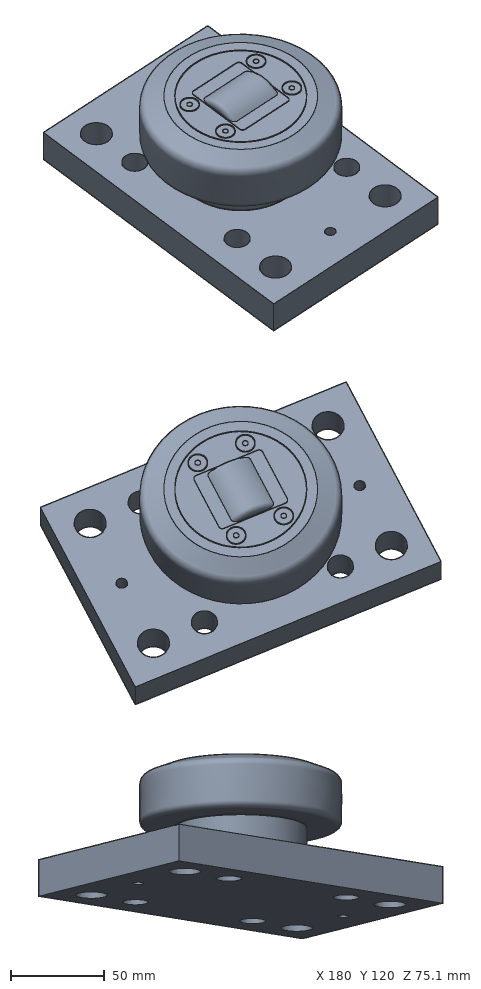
import cadquery as cq
import math

PLATE_LENGTH = 180.0
PLATE_WIDTH = 120.0
PLATE_THICKNESS = 20.0
CORNER_HOLE_DIAMETER = 17.0
CORNER_HOLE_SPACING = (140.0, 80.0)
INNER_HOLE_DIAMETER = 13.84
INNER_HOLE_SPACING = (80.0, 80.0)
SIDE_HOLE_DIAMETER = 6.0
SIDE_HOLE_SPACING = 140.0

POST_DIAMETER = 71.0
POST_RELIEF_DIAMETER = 70.5
POST_RELIEF_HEIGHT = 0.5
RING_BOTTOM = 39.6

RING_DIAMETER = 108.0
RING_CROWN = 0.1
RING_TOP = 71.1
RING_TOP_DIAMETER = 82.0
CONE_BASE_DIAMETER = 101.0
CONE_BASE_HEIGHT = 67.3
SHOULDER_HEIGHT = 63.0
BOTTOM_FILLET = 3.3

BORE_DIAMETER = 70.5
PIN_DIAMETER = 70.1
GAP_DEPTH = 0.5

SCREW_SPACING = (28.0, 48.5)
SCREW_HEAD_DIAMETER = 10.0
COUNTERBORE_DIAMETER = 10.5
SOCKET_DIAMETER = 3.0
SOCKET_DEPTH = 0.3

WINDOW_LENGTH = 40.3
WINDOW_WIDTH = 35.3
WINDOW_CORNER_RADIUS = 2.0
WINDOW_DEPTH = 0.4
TOTAL_HEIGHT = 75.1
SIDE_ROLLER_RADIUS = 20.0
SIDE_ROLLER_CROWN = 0.1
SIDE_ROLLER_LENGTH = 34.0
SIDE_ROLLER_FILLET = 2.6


def rectangle_corners(spacing):
    """Corner points of a centred rectangle with the given X and Y spacing."""
    x = spacing[0] / 2
    y = spacing[1] / 2
    return [(-x, -y), (x, -y), (x, y), (-x, y)]


def cylinders(points, diameter, bottom, top):
    """Vertical cylinders standing on the given points."""
    base = cq.Workplane("XY", origin=(0, 0, bottom)).pushPoints(points)
    return base.circle(diameter / 2).extrude(top - bottom)


def annular_gaps(points, outer_diameter, inner_diameter):
    """Shallow ring-shaped gaps to cut into the top face."""
    outer = cylinders(points, outer_diameter, RING_TOP - GAP_DEPTH, RING_TOP)
    inner = cylinders(points, inner_diameter, RING_TOP - GAP_DEPTH, RING_TOP)
    return outer.cut(inner)


def mounting_plate():
    """Rectangular plate with all its through holes."""
    plate = cq.Workplane("XY").box(
        PLATE_LENGTH, PLATE_WIDTH, PLATE_THICKNESS, centered=(True, True, False)
    )
    side_points = [(-SIDE_HOLE_SPACING / 2, 0), (SIDE_HOLE_SPACING / 2, 0)]
    hole_groups = [
        (rectangle_corners(CORNER_HOLE_SPACING), CORNER_HOLE_DIAMETER),
        (rectangle_corners(INNER_HOLE_SPACING), INNER_HOLE_DIAMETER),
        (side_points, SIDE_HOLE_DIAMETER),
    ]
    for points, diameter in hole_groups:
        plate = plate.cut(cylinders(points, diameter, 0, PLATE_THICKNESS))
    return plate


def roller_ring():
    """Revolved ring with a crowned rim, rounded lower edge and shoulder, and a conical top."""
    rim_middle = RING_DIAMETER / 2
    rim = rim_middle - RING_CROWN
    cone_base = CONE_BASE_DIAMETER / 2
    cone_top = RING_TOP_DIAMETER / 2
    middle_height = (RING_BOTTOM + BOTTOM_FILLET + SHOULDER_HEIGHT) / 2
    rim_inset = BOTTOM_FILLET * (1 - math.sqrt(0.5))
    profile = (
        cq.Workplane("XZ")
        .moveTo(0, RING_BOTTOM)
        .lineTo(rim - BOTTOM_FILLET, RING_BOTTOM)
        .threePointArc(
            (rim - rim_inset, RING_BOTTOM + rim_inset),
            (rim, RING_BOTTOM + BOTTOM_FILLET),
        )
        .threePointArc((rim_middle, middle_height), (rim, SHOULDER_HEIGHT))
        .tangentArcPoint((cone_base, CONE_BASE_HEIGHT), relative=False)
        .lineTo(cone_top, RING_TOP)
        .lineTo(0, RING_TOP)
        .close()
    )
    return profile.revolve(360, (0, 0, 0), (0, 1, 0))


def window_recess():
    """Shallow rounded rectangle cut around the side roller."""
    return (
        cq.Workplane("XY", origin=(0, 0, RING_TOP - WINDOW_DEPTH))
        .rect(WINDOW_LENGTH, WINDOW_WIDTH)
        .extrude(WINDOW_DEPTH)
        .edges("|Z")
        .fillet(WINDOW_CORNER_RADIUS)
    )


def side_roller():
    """Crowned roller along Y whose upper part stands out of the top face."""
    axis_height = TOTAL_HEIGHT - SIDE_ROLLER_RADIUS
    half_length = SIDE_ROLLER_LENGTH / 2
    end_radius = SIDE_ROLLER_RADIUS - SIDE_ROLLER_CROWN
    profile = (
        cq.Workplane("YZ", origin=(0, 0, axis_height))
        .moveTo(-half_length, 0)
        .lineTo(-half_length, end_radius)
        .threePointArc((0, SIDE_ROLLER_RADIUS), (half_length, end_radius))
        .lineTo(half_length, 0)
        .close()
    )
    roller = profile.revolve(360, (0, 0, 0), (1, 0, 0))
    return roller.faces("<Y or >Y").edges().fillet(SIDE_ROLLER_FILLET)


def roller_head():
    """Ring and pin with the face details and the protruding side roller."""
    screw_points = rectangle_corners(SCREW_SPACING)
    head = roller_ring()
    head = head.cut(annular_gaps([(0, 0)], BORE_DIAMETER, PIN_DIAMETER))
    head = head.cut(annular_gaps(screw_points, COUNTERBORE_DIAMETER, SCREW_HEAD_DIAMETER))
    head = head.cut(cylinders(screw_points, SOCKET_DIAMETER, RING_TOP - SOCKET_DEPTH, RING_TOP))
    head = head.cut(window_recess())
    return head.union(side_roller())


def post():
    """Round stub with a shallow relief at the plate and another at the ring."""
    axis = [(0, 0)]
    body_bottom = PLATE_THICKNESS + POST_RELIEF_HEIGHT
    body_top = RING_BOTTOM - POST_RELIEF_HEIGHT
    body = cylinders(axis, POST_DIAMETER, body_bottom, body_top)
    core = cylinders(axis, POST_RELIEF_DIAMETER, PLATE_THICKNESS, RING_BOTTOM)
    return core.union(body)


result = mounting_plate().union(post()).union(roller_head())